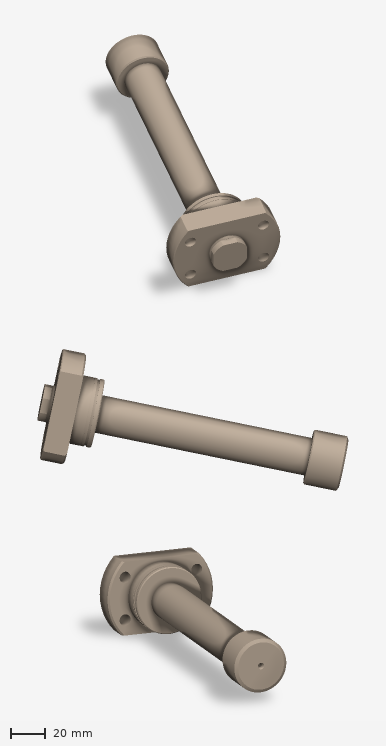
import cadquery as cq
import math


total_length = 177.0
rod_radius = 11.0
head_diameter = 32.0
head_radius = head_diameter / 2
head_length = 20.4
head_front_chamfer_length = 1.15
head_front_chamfer_depth = 2.0
head_back_chamfer = 0.7
shank_end = 172.8
shank_end_chamfer = 0.7
drive_across_flats = 20.2

center_hole_radius = 2.0
center_pilot_radius = 1.0
center_pilot_depth = 2.5
center_cone_angle = 60.0

boss_start = 143.9
boss_radius = 20.0
boss_chamfer = 0.5
flange_start = 157.2
flange_end = 171.0
flange_diameter = 65.0
flange_radius = flange_diameter / 2
flange_height = 44.0
flange_front_chamfer = 1.0
flange_back_chamfer = 0.5

seal_groove_start = 146.5
seal_groove_width = 1.6
seal_groove_depth = 0.7
line_groove_start = 149.7
line_groove_width = 0.5
line_groove_depth = 0.2

bolt_circle_radius = 25.5
bolt_hole_radius = 3.4
bolt_angles = [30.0, 150.0, 210.0, 330.0]


def cylinder(radius, start, end):
    """Cylinder on the X axis from X = start to X = end."""
    return cq.Workplane("YZ", origin=(start, 0, 0)).circle(radius).extrude(end - start)


def revolve_profile(points):
    """Turn a closed (x, radius) outline about the X axis."""
    return cq.Workplane("XY").polyline(points).close().revolve(360, (0, 0, 0), (1, 0, 0))


def center_hole():
    """Conical countersink that narrows into a short pilot hole."""
    half_angle = math.radians(center_cone_angle / 2)
    cone_depth = (center_hole_radius - center_pilot_radius) / math.tan(half_angle)
    return revolve_profile([
        (0, 0),
        (0, center_hole_radius),
        (cone_depth, center_pilot_radius),
        (cone_depth + center_pilot_depth, center_pilot_radius),
        (cone_depth + center_pilot_depth, 0),
    ])


def square_drive():
    """End of the rod, flattened on four sides."""
    length = total_length - shank_end
    square = cq.Workplane("YZ", origin=(shank_end, 0, 0)).rect(drive_across_flats, drive_across_flats)
    return cylinder(rod_radius, shank_end, total_length).intersect(square.extrude(length))


def make_rod():
    """Rod with a chamfered head, a square drive and a centre hole."""
    turned = revolve_profile([
        (0, 0),
        (0, head_radius - head_front_chamfer_depth),
        (head_front_chamfer_length, head_radius),
        (head_length - head_back_chamfer, head_radius),
        (head_length, head_radius - head_back_chamfer),
        (head_length, rod_radius),
        (shank_end - shank_end_chamfer, rod_radius),
        (shank_end, rod_radius - shank_end_chamfer),
        (shank_end, 0),
    ])
    return turned.union(square_drive()).cut(center_hole())


def make_boss():
    """Round boss with a chamfered free end."""
    return cylinder(boss_radius, boss_start, flange_start).faces("<X").chamfer(boss_chamfer)


def make_flange():
    """Round flange, chamfered on both rims, then cut flat on top and bottom."""
    disc = cylinder(flange_radius, flange_start, flange_end)
    disc = disc.faces("<X").chamfer(flange_front_chamfer)
    disc = disc.faces(">X").chamfer(flange_back_chamfer)
    length = flange_end - flange_start
    slab = cq.Workplane("YZ", origin=(flange_start, 0, 0)).rect(flange_diameter, flange_height)
    return disc.intersect(slab.extrude(length))


def ring_groove(start, width, depth):
    """Cutter for a rectangular groove around the boss."""
    end = start + width
    outer = cylinder(boss_radius + depth, start, end)
    return outer.cut(cylinder(boss_radius - depth, start, end))


def bolt_holes():
    """Cutters for the through holes on the bolt circle."""
    centers = []
    for angle in bolt_angles:
        radians = math.radians(angle)
        centers.append((bolt_circle_radius * math.cos(radians), bolt_circle_radius * math.sin(radians)))
    plane = cq.Workplane("YZ", origin=(flange_start, 0, 0))
    return plane.pushPoints(centers).circle(bolt_hole_radius).extrude(flange_end - flange_start)


def make_bush():
    """Flanged bush with two boss grooves, bolt holes and a bore that fits the rod."""
    bush = make_flange().union(make_boss())
    bush = bush.cut(ring_groove(seal_groove_start, seal_groove_width, seal_groove_depth))
    bush = bush.cut(ring_groove(line_groove_start, line_groove_width, line_groove_depth))
    bush = bush.cut(bolt_holes())
    return bush.cut(cylinder(rod_radius, boss_start, flange_end))


rod = make_rod()
bush = make_bush()

result = cq.Compound.makeCompound([rod.val(), bush.val()])